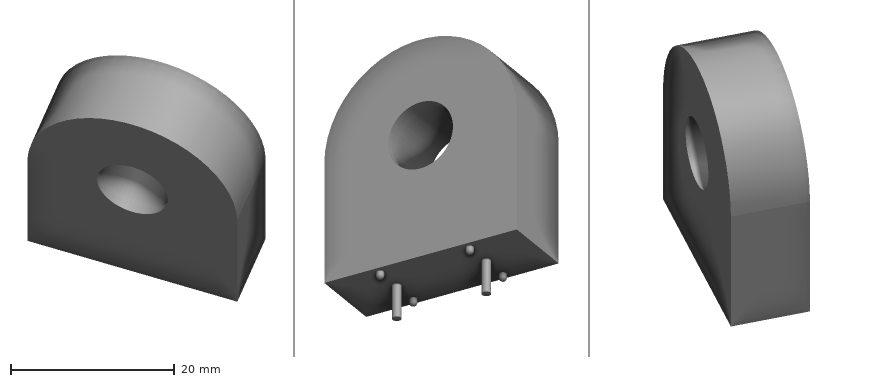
import cadquery as cq

HOUSING_WIDTH = 27.3
HOUSING_DEPTH = 10.16
HOUSING_HEIGHT = 30.12
SHOULDER_HEIGHT = 16.8
BORE_DIAMETER = 9.2

ARROW_BASE_HEIGHT = 1.0
ARROW_SHAFT_WIDTH = 2.0
ARROW_SHAFT_LENGTH = 6.0
ARROW_HEAD_WIDTH = 4.0
ARROW_HEAD_LENGTH = 4.0
ARROW_DEPTH = 0.5

PIN_SPACING = 12.7
PIN_DIAMETER = 1.2
PIN_LENGTH = 4.6
STANDOFF_SPACING_Y = 8.0
STANDOFF_DIAMETER = 1.0
STANDOFF_HEIGHT = 1.0

FRONT_Y = -HOUSING_DEPTH / 2


def make_arrow():
    """Upward arrow that fills its recess in the front face."""
    half_shaft = ARROW_SHAFT_WIDTH / 2
    half_head = ARROW_HEAD_WIDTH / 2
    head_base = ARROW_BASE_HEIGHT + ARROW_SHAFT_LENGTH
    tip = head_base + ARROW_HEAD_LENGTH
    return (
        cq.Workplane("XZ", origin=(0, FRONT_Y, 0))
        .moveTo(-half_shaft, ARROW_BASE_HEIGHT)
        .lineTo(half_shaft, ARROW_BASE_HEIGHT)
        .lineTo(half_shaft, head_base)
        .lineTo(half_head, head_base)
        .lineTo(0, tip)
        .lineTo(-half_head, head_base)
        .lineTo(-half_shaft, head_base)
        .close()
        .extrude(-ARROW_DEPTH)
    )


def make_housing(arrow):
    """Round-topped block with a through bore and a recess for the arrow."""
    half_width = HOUSING_WIDTH / 2
    block = (
        cq.Workplane("XZ", origin=(0, FRONT_Y, 0))
        .moveTo(-half_width, 0)
        .lineTo(half_width, 0)
        .lineTo(half_width, SHOULDER_HEIGHT)
        .threePointArc((0, HOUSING_HEIGHT), (-half_width, SHOULDER_HEIGHT))
        .close()
        .extrude(-HOUSING_DEPTH)
    )
    bore = (
        cq.Workplane("XZ", origin=(0, FRONT_Y, 0))
        .center(0, SHOULDER_HEIGHT)
        .circle(BORE_DIAMETER / 2)
        .extrude(-HOUSING_DEPTH)
    )
    return block.cut(bore).cut(arrow)


def make_pin(x):
    """Straight round pin hanging from the bottom face."""
    return cq.Workplane("XY").center(x, 0).circle(PIN_DIAMETER / 2).extrude(-PIN_LENGTH)


def make_standoff(x, y):
    """Short peg with a hemispherical lower end, revolved about its own axis."""
    radius = STANDOFF_DIAMETER / 2
    dome_start = -(STANDOFF_HEIGHT - radius)
    diagonal = radius * 0.5 ** 0.5
    return (
        cq.Workplane("XZ", origin=(x, y, 0))
        .moveTo(0, 0)
        .lineTo(radius, 0)
        .lineTo(radius, dome_start)
        .threePointArc((diagonal, dome_start - diagonal), (0, -STANDOFF_HEIGHT))
        .close()
        .revolve(360, (0, 0), (0, 1))
    )


arrow = make_arrow()
housing = make_housing(arrow)

pins = []
standoffs = []
for x in (-PIN_SPACING / 2, PIN_SPACING / 2):
    pins.append(make_pin(x).val())
    for y in (-STANDOFF_SPACING_Y / 2, STANDOFF_SPACING_Y / 2):
        standoffs.append(make_standoff(x, y).val())

result = cq.Compound.makeCompound([housing.val(), arrow.val(), *pins, *standoffs])